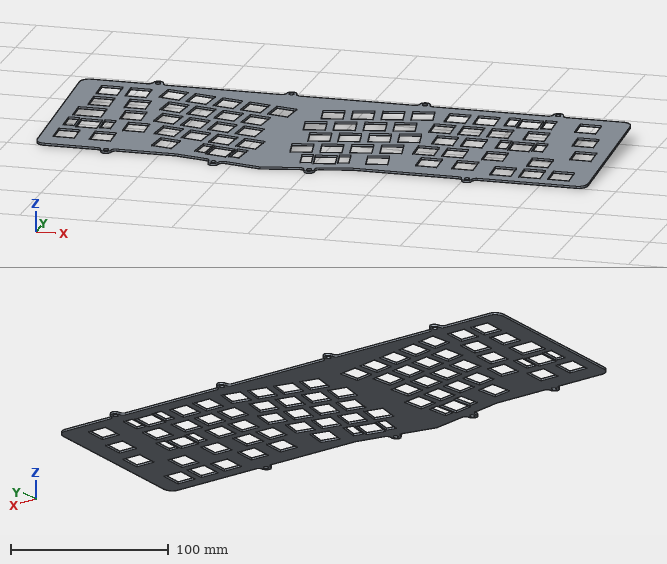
import cadquery as cq
import math


plate_width = 362.0
plate_thickness = 1.5
tilt_angle = 5.0
back_edge = 58.5
front_edge = -53.2
corner_radius = 6.0
point_x = -30.0
point_half_width = 58.3

ear_radius = 3.45
ear_hole_diameter = 3.1
ear_fillet = 3.0
back_ear_count = 4
back_ear_pitch = 87.5
back_ear_y = 60.8
outer_front_ear_y = -55.0
inner_front_ear_y = -60.8
outer_front_ear_xs = [-133.5, 103.5]
inner_front_ear_xs = [-61.5, 1.5]

key_pitch = plate_width / 19
window_gap = 5.0
switch_window = key_pitch - window_gap
stabilizer_width = 7.2
stabilizer_length = 13.5
stabilizer_spacing = 12.0
stabilizer_offset = 1.25
stepped_shift = 0.25

block_margin = 3.55
block_left = block_margin - plate_width / 2
number_row_y = 42.7

upright_rows = [
    [1.0, 2.0, 13.0, 14.0, 15.5, 17.5],
    [1.0, 2.25, 12.75, 13.75, 14.75, 16.0],
    [2.375, 13.125, 14.125, 15.75],
    [1.125, 2.75, 12.75, 13.75, 15.125],
    [0.625, 1.875, 13.125, 14.375],
]

caps_lock = (1.0, 2.0)
upright_wide_keys = [(15.5, 0.0), (15.75, 2.0), (1.125, 3.0)]

navigation_keys = [(17.75, 1.2), (18.0, 2.4)]
arrow_keys = [(16.75, 3.25), (15.75, 4.25), (16.75, 4.25), (17.75, 4.25)]

fan_angle = 10.0
left_fan_origin = (-116.5, 43.8)
right_fan_origin = (-8.7, 32.2)
left_fan_rows = [
    [0.0, 1.0, 2.0, 3.0, 4.0],
    [0.5, 1.5, 2.5, 3.5],
    [0.75, 1.75, 2.75, 3.75],
    [1.25, 2.25, 3.25, 4.25],
    [1.625, 3.625],
]
right_fan_rows = [
    [0.0, 1.0, 2.0, 3.0],
    [-0.5, 0.5, 1.5, 2.5],
    [-0.25, 0.75, 1.75, 2.75],
    [-0.75, 0.25, 1.25, 2.25],
    [0.125, 1.875],
]
left_space_bar = (3.625, 4.0)
right_space_bar = (0.125, 4.0)


def sheet():
    half_width = plate_width / 2
    point_y = front_edge - point_half_width * math.tan(math.radians(fan_angle))
    outline = [
        (-half_width, back_edge),
        (half_width, back_edge),
        (half_width, front_edge),
        (point_x + point_half_width, front_edge),
        (point_x, point_y),
        (point_x - point_half_width, front_edge),
        (-half_width, front_edge),
    ]
    blank = cq.Workplane("XY").polyline(outline).close().extrude(plate_thickness)
    return blank.edges("|Z and (<X or >X)").fillet(corner_radius)


def ear_places():
    """Ear centres with the direction (+1 back, -1 front) in which each ear points."""
    back_row_middle = (back_ear_count - 1) / 2
    places = [((i - back_row_middle) * back_ear_pitch, back_ear_y, 1) for i in range(back_ear_count)]
    places += [(x, outer_front_ear_y, -1) for x in outer_front_ear_xs]
    places += [(x, inner_front_ear_y, -1) for x in inner_front_ear_xs]
    return places


def ear_centres():
    return [(x, y) for x, y, _ in ear_places()]


def ear_roots():
    """Select the upright edges where the round ears meet the sheet."""
    selector = None
    for x, y, direction in ear_places():
        box = cq.selectors.BoxSelector(
            (x - ear_radius, y - direction * ear_hole_diameter / 4, 0),
            (x + ear_radius, y - direction * ear_radius, plate_thickness),
        )
        selector = box if selector is None else selector + box
    return selector


def add_ears(plate):
    ears = cq.Workplane("XY").pushPoints(ear_centres()).circle(ear_radius).extrude(plate_thickness)
    return plate.union(ears).edges("|Z").edges(ear_roots()).fillet(ear_fillet)


def drill_ears(plate):
    hole_radius = ear_hole_diameter / 2
    return plate.cut(
        cq.Workplane("XY").pushPoints(ear_centres()).circle(hole_radius).extrude(plate_thickness)
    )


def cut_windows(plate, centres, width, length, origin, angle):
    """Cut windows at centres given in a frame turned by angle about origin."""
    windows = cq.Workplane("XY").pushPoints(centres).rect(width, length).extrude(plate_thickness)
    windows = windows.rotate((0, 0, 0), (0, 0, 1), angle).translate((*origin, 0))
    return plate.cut(windows)


def key_centre(key):
    column, row = key
    return (column * key_pitch, -row * key_pitch)


def row_keys(rows):
    return [(column, row) for row, columns in enumerate(rows) for column in columns]


def cut_keys(plate, keys, wide_keys, origin, angle):
    centres = [key_centre(key) for key in keys]
    plate = cut_windows(plate, centres, switch_window, switch_window, origin, angle)
    stabilizers = []
    for x, y in [key_centre(key) for key in wide_keys]:
        for side in (-1, 1):
            stabilizers.append((x + side * stabilizer_spacing, y + stabilizer_offset))
    return cut_windows(plate, stabilizers, stabilizer_width, stabilizer_length, origin, angle)


def cut_caps_lock(plate, origin):
    column, row = caps_lock
    centre = key_centre((column - stepped_shift / 2, row))
    width = switch_window + stepped_shift * key_pitch
    return cut_windows(plate, [centre], width, switch_window, origin, 0)


plate = drill_ears(add_ears(sheet()))

block_origin = (block_left, number_row_y)
upright_keys = row_keys(upright_rows) + navigation_keys + arrow_keys
plate = cut_keys(plate, upright_keys, upright_wide_keys, block_origin, 0)
plate = cut_caps_lock(plate, block_origin)
plate = cut_keys(plate, row_keys(left_fan_rows), [left_space_bar], left_fan_origin, -fan_angle)
plate = cut_keys(plate, row_keys(right_fan_rows), [right_space_bar], right_fan_origin, fan_angle)

result = plate.translate((0, 0, -plate_thickness / 2)).rotate((0, 0, 0), (1, 0, 0), tilt_angle)